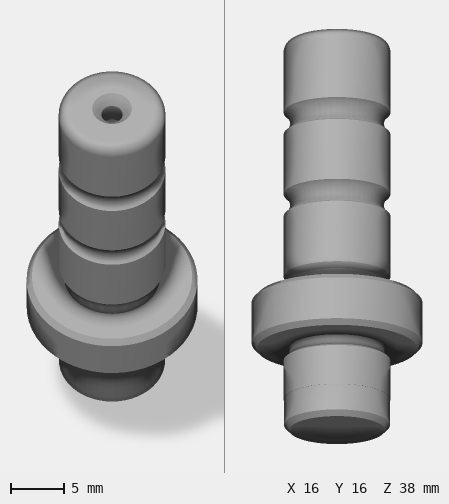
import cadquery as cq
import math

total_height = 38.0
shaft_radius = 5.0
top_fillet = 1.0
tail_chamfer = 0.5

tail_relief_radius = 4.97
tail_relief_height = 3.0

collar_radius = 8.0
collar_bottom = 8.0
collar_thickness = 5.0
collar_chamfer = 0.5
collar_top = collar_bottom + collar_thickness

neck_radius = 4.5
upper_neck_end_radius = 4.6
upper_undercut_height = 2.0
upper_undercut_taper = 0.55
lower_undercut_height = 1.2
lower_undercut_taper = 0.35

groove_heights = (30.0, 22.0)
groove_radius = 1.25
groove_depth = 0.6

centre_hole_radius = 1.0
centre_mouth_radius = 1.85
countersink_angle = 90.0
pilot_depth = 2.0
drill_point_angle = 120.0


def revolve_about_z(half_section):
    """Close a half section drawn in the XZ plane and revolve it about Z."""
    return half_section.close().revolve(360, (0, 0, 0), (0, 1, 0))


def cone_depth(radius_change, included_angle):
    """Axial length of a cone whose radius changes by radius_change."""
    return radius_change / math.tan(math.radians(included_angle / 2))


def make_body():
    """Shaft, undercuts and collar as one turned solid."""
    lower_taper_start = collar_bottom - lower_undercut_height
    lower_taper_end = lower_taper_start + lower_undercut_taper
    upper_taper_start = collar_top + upper_undercut_height
    upper_taper_end = upper_taper_start - upper_undercut_taper
    collar_face_radius = collar_radius - collar_chamfer
    fillet_inset = top_fillet * (1 - math.sqrt(0.5))

    half_section = (
        cq.Workplane("XZ")
        .lineTo(tail_relief_radius - tail_chamfer, 0)
        .lineTo(tail_relief_radius, tail_chamfer)
        .lineTo(tail_relief_radius, tail_relief_height)
        .lineTo(shaft_radius, tail_relief_height)
        .lineTo(shaft_radius, lower_taper_start)
        .lineTo(neck_radius, lower_taper_end)
        .lineTo(neck_radius, collar_bottom)
        .lineTo(collar_face_radius, collar_bottom)
        .lineTo(collar_radius, collar_bottom + collar_chamfer)
        .lineTo(collar_radius, collar_top - collar_chamfer)
        .lineTo(collar_face_radius, collar_top)
        .lineTo(neck_radius, collar_top)
        .lineTo(upper_neck_end_radius, upper_taper_end)
        .lineTo(shaft_radius, upper_taper_start)
        .lineTo(shaft_radius, total_height - top_fillet)
        .threePointArc(
            (shaft_radius - fillet_inset, total_height - fillet_inset),
            (shaft_radius - top_fillet, total_height),
        )
        .lineTo(0, total_height)
    )
    return revolve_about_z(half_section)


def make_groove(height):
    """Ring that cuts one rounded groove, its floor at the given height."""
    floor_radius = shaft_radius - groove_depth
    arc_centre_radius = floor_radius + groove_radius
    half_width = math.sqrt(groove_radius**2 - (arc_centre_radius - shaft_radius) ** 2)

    half_section = (
        cq.Workplane("XZ")
        .moveTo(shaft_radius, height - half_width)
        .threePointArc((floor_radius, height), (shaft_radius, height + half_width))
    )
    return revolve_about_z(half_section)


def make_centre_hole():
    """Countersink, straight pilot and drill point, cut down from the top face."""
    countersink_depth = cone_depth(centre_mouth_radius - centre_hole_radius, countersink_angle)
    countersink_bottom = total_height - countersink_depth
    pilot_bottom = countersink_bottom - pilot_depth
    drill_tip = pilot_bottom - cone_depth(centre_hole_radius, drill_point_angle)

    half_section = (
        cq.Workplane("XZ")
        .moveTo(0, drill_tip)
        .lineTo(centre_hole_radius, pilot_bottom)
        .lineTo(centre_hole_radius, countersink_bottom)
        .lineTo(centre_mouth_radius, total_height)
        .lineTo(0, total_height)
    )
    return revolve_about_z(half_section)


result = make_body()
for groove_height in groove_heights:
    result = result.cut(make_groove(groove_height))
result = result.cut(make_centre_hole())